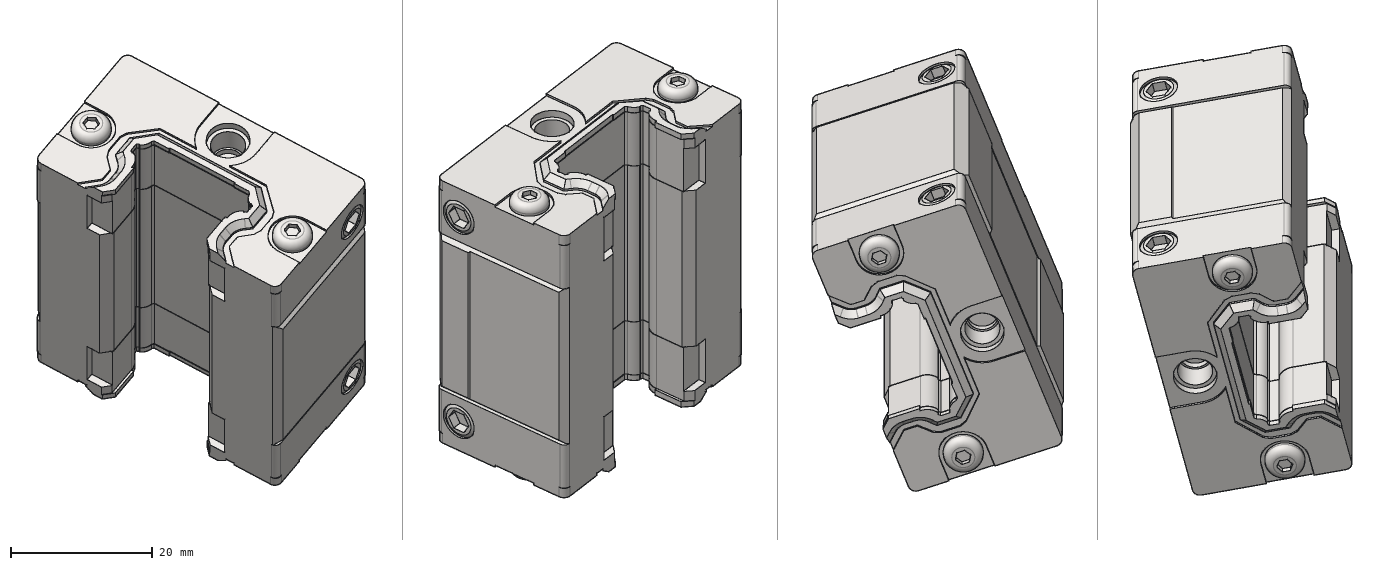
import cadquery as cq
import math


block_end = 13.75
cap_end = 21.4
plate_end = 23.15
recess_floor = 22.8
seal_end = 24.1
screw_top = 24.4

block_half_width = 42.0 / 2
block_height = 23.5
side_relief = 0.2
reference_edge_y = 17.2
block_top_chamfer = 1.6
block_foot_chamfer = 1.05
block_end_chamfer = 0.95
pad_inner_x = 10.0

cap_half_width = 20.7
cap_height = 23.15
cap_fillet = 0.95
plate_fillet = 1.1

opening_top = 11.7
cap_clearance = 0.05
roof_half_width = 8.1
notch_x = 9.9
shoulder_x = 8.15
shoulder_y = 6.0
block_leg_chamfer = 1.45
plate_leg_chamfer = 1.05
pocket_half_width = 11.7
pocket_depth = 1.15

seal_bay_top = 14.6
seal_bay_side_x = 13.0
seal_bay_neck_x = 10.85
seal_bay_foot_x = 13.35
seal_top = 13.8
seal_side_x = 11.7
seal_neck_x = 9.9
seal_foot_x = 12.0
lip_top = 11.65
seal_leg_x = 7.8
seal_leg_chamfer = 1.3
seal_relief_half_width = 5.55
seal_relief = 0.2
rim_bevel_angle = 45

port_y = 18.4
port_recess_radius = 4.75
port_steps = [(6.2, 1.15), (5.0, 4.9), (4.4, 5.85)]

screw_x = 17.2
screw_y = 9.15
screw_diameter = 5.7
screw_rounding = 1.2
screw_recess_width = 6.95
screw_hex_flats = 2.0
screw_hex_depth = 0.8

plug_y = 19.15
plug_z = 18.0
plug_diameter = 5.5
plug_face_diameter = 4.4
plug_bevel_depth = 0.35
plug_bevel_angle = math.degrees(math.atan((plug_diameter - plug_face_diameter) / 2 / plug_bevel_depth))
plug_hex_flats = 3.1
plug_hex_depth = 1.45

hex_flats_to_corners = 2 / math.sqrt(3)

overrun = 2.95


def slab(z_start, z_end, half_width, y_start, y_end):
    """Box centred on X between two heights and two Z levels."""
    return (
        cq.Workplane("XY", origin=(0, (y_start + y_end) / 2, z_start))
        .rect(2 * half_width, y_end - y_start)
        .extrude(z_end - z_start)
    )


def with_mirror_image(half):
    """Half part joined to its mirror image across X = 0."""
    return half.union(half.mirror("YZ"))


def opening(z_start, z_end, top, leg, foot_chamfer, widening=0):
    """Cutter for the rail opening, with round-nosed shoulders above and below the side notch."""
    profile = (
        cq.Workplane("XY", origin=(0, 0, z_start))
        .moveTo(-overrun, top)
        .lineTo(roof_half_width, top)
        .lineTo(8.35, 11.35)
        .threePointArc((8.65, 10.65), (9.35, 9.95))
        .lineTo(9.55, 10.0)
        .lineTo(notch_x, 9.8)
        .lineTo(notch_x, 8.45)
        .lineTo(9.55, 8.2)
        .lineTo(9.35, 8.3)
        .threePointArc((8.5, 7.4), (shoulder_x, shoulder_y))
    )
    if leg != shoulder_x:
        profile = profile.lineTo(leg, shoulder_y)
    profile = (
        profile.lineTo(leg, foot_chamfer)
        .lineTo(leg + foot_chamfer + overrun, -overrun)
        .lineTo(-overrun, -overrun)
        .close()
    )
    half = profile.extrude(z_end - z_start)
    return with_mirror_image(half.translate((widening, 0, 0)))


def cap_opening(z_start, z_end):
    """Rail opening of the end caps, slightly wider than that of the block."""
    top = opening_top + cap_clearance
    return opening(z_start, z_end, top, shoulder_x, plate_leg_chamfer, widening=cap_clearance)


def make_block():
    """Steel block with two raised mounting pads and a relieved -X side below the reference edge."""
    right = block_half_width
    left = -block_half_width
    relieved = left + side_relief
    pad_step = block_height - cap_height
    outline = [
        (relieved, block_foot_chamfer),
        (relieved, reference_edge_y - side_relief),
        (left, reference_edge_y),
        (left, block_height - block_top_chamfer),
        (left + block_top_chamfer, block_height),
        (-pad_inner_x, block_height),
        (-pad_inner_x + pad_step, cap_height),
        (pad_inner_x - pad_step, cap_height),
        (pad_inner_x, block_height),
        (right - block_top_chamfer, block_height),
        (right, block_height - block_top_chamfer),
        (right, block_foot_chamfer),
        (right - block_foot_chamfer, 0),
        (relieved + block_foot_chamfer, 0),
    ]
    block = cq.Workplane("XY", origin=(0, 0, -block_end)).polyline(outline).close().extrude(2 * block_end)
    envelope = (
        slab(-block_end, block_end, block_half_width, 0, block_height)
        .edges("|Y or (|X and >Y)")
        .chamfer(block_end_chamfer)
    )
    channel = opening(-block_end, block_end, opening_top, shoulder_x, block_leg_chamfer)
    return block.intersect(envelope).cut(channel)


def make_recesses():
    """Shallow recesses in the end plate: around the seal, the port and the screws."""
    depth = plate_end - recess_floor
    half_bay = (
        cq.Workplane("XY", origin=(0, 0, recess_floor))
        .moveTo(0, seal_bay_top)
        .lineTo(9.1, seal_bay_top)
        .lineTo(12.55, 11.3)
        .lineTo(seal_bay_side_x, 10.25)
        .lineTo(seal_bay_side_x, 7.4)
        .lineTo(12.55, 6.3)
        .lineTo(seal_bay_neck_x, 4.6)
        .lineTo(seal_bay_neck_x, 2.55)
        .lineTo(seal_bay_foot_x + overrun, -overrun)
        .lineTo(0, -overrun)
        .close()
        .extrude(depth)
    )
    seal_bay = with_mirror_image(half_bay)
    port_bay = cq.Workplane("XY", origin=(0, port_y, recess_floor)).circle(port_recess_radius).extrude(depth)
    port_bay = port_bay.union(slab(recess_floor, plate_end, port_recess_radius, port_y, block_height))
    recesses = seal_bay.union(port_bay)
    for side in (-1, 1):
        round_end = (
            cq.Workplane("XY", origin=(side * screw_x, screw_y, recess_floor))
            .circle(screw_recess_width / 2)
            .extrude(depth)
        )
        to_side = (
            cq.Workplane("XY", origin=(side * (screw_x + block_half_width) / 2, screw_y, recess_floor))
            .rect(block_half_width - screw_x, screw_recess_width)
            .extrude(depth)
        )
        recesses = recesses.union(round_end).union(to_side)
    return recesses


def make_port():
    """Stepped blind bore for lubrication."""
    port = None
    for diameter, depth in port_steps:
        step = cq.Workplane("XY", origin=(0, port_y, recess_floor)).circle(diameter / 2).extrude(-depth)
        port = step if port is None else port.union(step)
    return port


def make_cap():
    """End cap and end plate in one piece, with the foot pocket and the port."""
    cap = slab(block_end, cap_end, cap_half_width, 0, cap_height).edges("|Z").fillet(cap_fillet)
    plate = slab(cap_end, plate_end, cap_half_width, 0, cap_height).edges("|Z").fillet(plate_fillet)
    channel = cap_opening(block_end, plate_end)
    pocket = slab(block_end, cap_end, pocket_half_width, 0, pocket_depth)
    return cap.union(plate).cut(make_recesses()).cut(channel).cut(pocket).cut(make_port())


def seal_rim(z_start):
    """Outer outline of the right half of the seal, running past the middle and the feet."""
    return (
        cq.Workplane("XY", origin=(0, 0, z_start))
        .moveTo(-overrun, seal_top)
        .lineTo(8.75, seal_top)
        .lineTo(seal_side_x, 10.85)
        .lineTo(seal_side_x, 7.2)
        .lineTo(10.95, 6.5)
        .threePointArc((10.15, 5.5), (seal_neck_x, 4.35))
        .lineTo(seal_neck_x, 3.0)
        .threePointArc((10.1, 2.15), (10.7, 1.3))
        .lineTo(seal_foot_x + overrun, -overrun)
        .lineTo(-overrun, -overrun)
        .close()
    )


def make_seal():
    """Seal frame on the recess floor, its outer rim bevelled above the plate."""
    base = seal_rim(recess_floor).extrude(plate_end - recess_floor)
    bevelled = seal_rim(plate_end).extrude(seal_end - plate_end, taper=rim_bevel_angle)
    below_feet = slab(recess_floor, seal_end, block_half_width, -2 * overrun, 0)
    lip = opening(plate_end, seal_end, lip_top, seal_leg_x, seal_leg_chamfer)
    relief = slab(plate_end, seal_end, seal_relief_half_width, 0, lip_top + seal_relief)
    frame = with_mirror_image(base.union(bevelled))
    return frame.cut(below_feet).cut(cap_opening(recess_floor, plate_end)).cut(lip).cut(relief)


def make_screw(x):
    """Domed screw head with a hex socket."""
    head = (
        cq.Workplane("XY", origin=(x, screw_y, recess_floor))
        .circle(screw_diameter / 2)
        .extrude(screw_top - recess_floor)
        .faces(">Z")
        .edges()
        .fillet(screw_rounding)
    )
    socket = (
        cq.Workplane("XY", origin=(x, screw_y, screw_top))
        .transformed(rotate=(0, 0, 90))
        .polygon(6, screw_hex_flats * hex_flats_to_corners)
        .extrude(-screw_hex_depth)
    )
    return head.cut(socket)


def make_plug_cutter():
    """Bevelled gap round a plug screw and its hex socket, on the -X side."""
    face = cq.Workplane("YZ", origin=(-cap_half_width, plug_y, plug_z))
    gap = face.circle(plug_diameter / 2).extrude(plug_bevel_depth)
    plug = face.circle(plug_face_diameter / 2).extrude(plug_bevel_depth, taper=-plug_bevel_angle)
    socket = face.polygon(6, plug_hex_flats * hex_flats_to_corners).extrude(plug_hex_depth)
    return gap.cut(plug).union(socket)


def make_end():
    """Complete end assembly on the +Z side."""
    plug = make_plug_cutter()
    end = make_cap().union(make_seal()).cut(plug).cut(plug.mirror("YZ"))
    for side in (-1, 1):
        end = end.union(make_screw(side * screw_x))
    return end


end = make_end()
result = make_block().union(end).union(end.mirror("XY"))